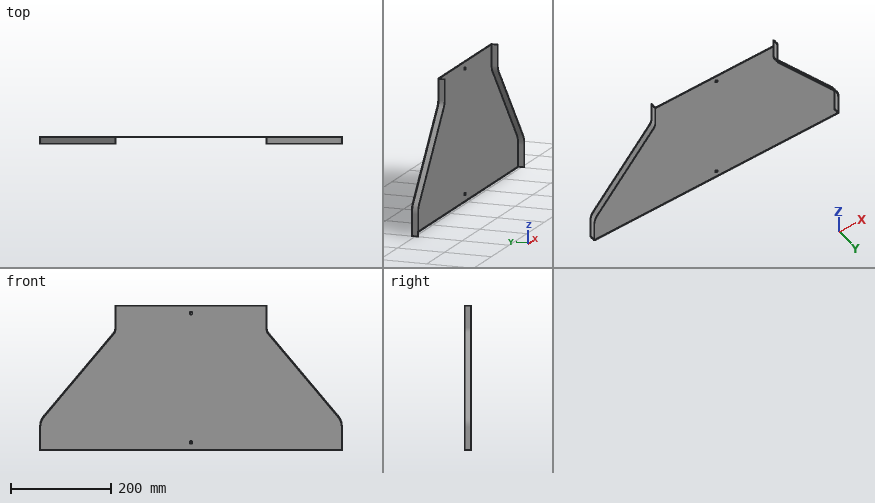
import cadquery as cq
import math

width = 602.0
depth = 14.0
height = 288.0

sheet = 1.0
top_width = 302.0
lower_corner_height = 58.5
upper_corner_drop = 51.0
lower_bend_radius = 31.5
upper_bend_radius = 17.0

hole_diameter = 5.0
hole_edge_distance = 15.0

slope_run = (width - top_width) / 2
slope_rise = height - lower_corner_height - upper_corner_drop
slope_angle = math.atan2(slope_run, slope_rise)


def tapered_block(inset, block_depth):
    """Full-height tapered block reaching back from Y = 0, its sides moved in by inset."""
    half_bottom = width / 2 - inset
    half_top = top_width / 2 - inset
    corner_shift = inset * math.tan(slope_angle / 2)
    lower_z = lower_corner_height - corner_shift
    upper_z = height - upper_corner_drop - corner_shift
    outline = [
        (-half_bottom, 0),
        (half_bottom, 0),
        (half_bottom, lower_z),
        (half_top, upper_z),
        (half_top, height),
        (-half_top, height),
        (-half_top, upper_z),
        (-half_bottom, lower_z),
    ]
    block = cq.Workplane("XZ").polyline(outline).close().extrude(-block_depth)

    bends = [
        (half_bottom, lower_z, lower_bend_radius - inset),
        (half_top, upper_z, upper_bend_radius + inset),
    ]
    for half_width, z, radius in bends:
        for x in (-half_width, half_width):
            edge_middle = (x, block_depth / 2, z)
            block = block.edges(cq.NearestToPointSelector(edge_middle)).fillet(radius)
    return block


channel = tapered_block(sheet, depth - sheet)
result = tapered_block(0, depth).cut(channel)

hole_heights = [hole_edge_distance, height - hole_edge_distance]
holes = (
    cq.Workplane("XZ")
    .pushPoints([(0, z) for z in hole_heights])
    .circle(hole_diameter / 2)
    .extrude(-depth)
)
result = result.cut(holes)